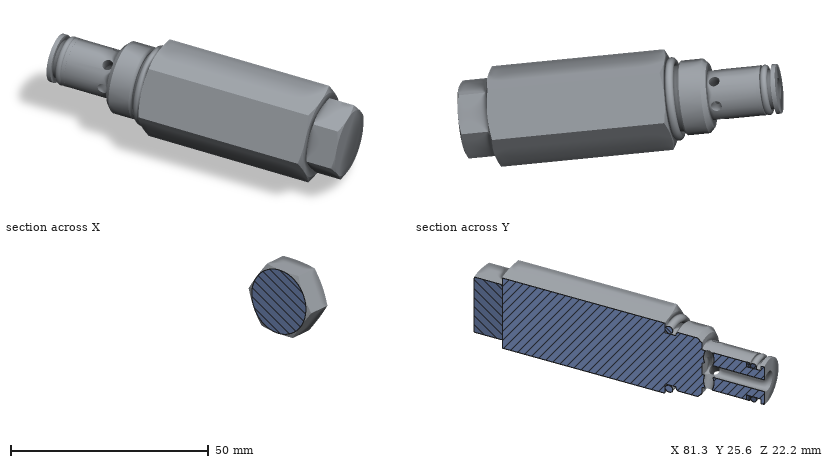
import cadquery as cq
import math

TOTAL_LENGTH = 81.3

NOSE_LIP_END = 1.1
SEAL_GROOVE_END = 4.95
COLLAR_START = 17.5
COLLAR_END = 24.8
HEX_START = 27.8
HEX_END = 73.4

NOSE_DIAMETER = 12.7
SEAL_GROOVE_DIAMETER = 10.1
BORE_DIAMETER = 5.5
BORE_DEPTH = COLLAR_START

CROSS_HOLE_COUNT = 6
CROSS_HOLE_DIAMETER = 2.8
CROSS_HOLE_X = 15.6

COLLAR_DIAMETER = 19.0
COLLAR_FRONT_CHAMFER = 1.2
COLLAR_BACK_CHAMFER = 0.6
NECK_DIAMETER = 16.8

HEX_ACROSS_FLATS = 22.2
HEX_CORNER_CHAMFER = 0.65

NUT_ACROSS_FLATS = 17.4
NUT_CORNER_CHAMFER = 0.6
NUT_TURN_ANGLE = 5.9

NOSE_ORING_SECTION = 1.8
NOSE_ORING_OUTER_DIAMETER = 12.85

BACKUP_RING_COUNT = 2
BACKUP_RING_WIDTH = 0.5
BACKUP_RING_DIAMETER = 12.8
BACKUP_RINGS_START = SEAL_GROOVE_END - BACKUP_RING_COUNT * BACKUP_RING_WIDTH

NECK_ORING_SECTION = 2.2


def cylinder(diameter, start, end):
    """Solid cylinder along X between two positions."""
    return cq.Workplane("YZ", origin=(start, 0, 0)).circle(diameter / 2).extrude(end - start)


def oring(section, center_radius, center_x):
    """Torus about the X axis."""
    return cq.Workplane("XY").center(center_x, center_radius).circle(section / 2).revolve(
        360, (0, -center_radius), (1, -center_radius)
    )


def chamfered_hexagon(across_flats, start, end, corner_chamfer):
    """Hexagonal bar along X, corners on the Y axis, turned conically at both ends.

    Each cone leaves a round end face as wide as the flats.
    """
    across_corners = across_flats / math.cos(math.radians(30))
    bar = cq.Workplane("YZ", origin=(start, 0, 0)).polygon(6, across_corners).extrude(end - start)
    turned_blank = (
        cq.Workplane("XY")
        .moveTo(start, 0)
        .lineTo(start, across_flats / 2)
        .lineTo(start + corner_chamfer, across_corners / 2)
        .lineTo(end - corner_chamfer, across_corners / 2)
        .lineTo(end, across_flats / 2)
        .lineTo(end, 0)
        .close()
        .revolve(360, (0, 0), (1, 0))
    )
    return bar.intersect(turned_blank)


def make_collar():
    collar = cylinder(COLLAR_DIAMETER, COLLAR_START, COLLAR_END)
    collar = collar.faces("<X").chamfer(COLLAR_FRONT_CHAMFER)
    return collar.faces(">X").chamfer(COLLAR_BACK_CHAMFER)


def make_cross_holes():
    """Radial drills from the axis outwards, the first one along +Y."""
    drill = (
        cq.Workplane("XZ", origin=(CROSS_HOLE_X, 0, 0))
        .circle(CROSS_HOLE_DIAMETER / 2)
        .extrude(-NOSE_DIAMETER)
    )
    holes = cq.Workplane("XY")
    for index in range(CROSS_HOLE_COUNT):
        angle = index * 360 / CROSS_HOLE_COUNT
        holes = holes.union(drill.rotate((0, 0, 0), (1, 0, 0), angle))
    return holes


def make_housing():
    nose_lip = cylinder(NOSE_DIAMETER, 0, NOSE_LIP_END)
    groove_floor = cylinder(SEAL_GROOVE_DIAMETER, NOSE_LIP_END, SEAL_GROOVE_END)
    nose_body = cylinder(NOSE_DIAMETER, SEAL_GROOVE_END, COLLAR_START)
    neck = cylinder(NECK_DIAMETER, COLLAR_END, HEX_START)
    hexagon = chamfered_hexagon(HEX_ACROSS_FLATS, HEX_START, HEX_END, HEX_CORNER_CHAMFER)
    body = nose_lip.union(groove_floor).union(nose_body).union(make_collar()).union(neck).union(hexagon)
    bore = cylinder(BORE_DIAMETER, 0, BORE_DEPTH)
    return body.cut(bore).cut(make_cross_holes())


def make_end_nut():
    nut = chamfered_hexagon(NUT_ACROSS_FLATS, HEX_END, TOTAL_LENGTH, NUT_CORNER_CHAMFER)
    return nut.rotate((0, 0, 0), (1, 0, 0), NUT_TURN_ANGLE)


def make_nose_oring():
    """O-ring touching the first backup ring, trimmed flat by the groove floor."""
    center_radius = (NOSE_ORING_OUTER_DIAMETER - NOSE_ORING_SECTION) / 2
    center_x = BACKUP_RINGS_START - NOSE_ORING_SECTION / 2
    ring = oring(NOSE_ORING_SECTION, center_radius, center_x)
    return ring.cut(cylinder(SEAL_GROOVE_DIAMETER, NOSE_LIP_END, SEAL_GROOVE_END))


def make_backup_ring(start):
    end = start + BACKUP_RING_WIDTH
    return cylinder(BACKUP_RING_DIAMETER, start, end).cut(cylinder(SEAL_GROOVE_DIAMETER, start, end))


def make_neck_oring():
    center_radius = (NECK_DIAMETER + NECK_ORING_SECTION) / 2
    center_x = HEX_START - NECK_ORING_SECTION / 2
    return oring(NECK_ORING_SECTION, center_radius, center_x)


housing = make_housing()
end_nut = make_end_nut()
nose_oring = make_nose_oring()
neck_oring = make_neck_oring()

backup_rings = []
for ring_index in range(BACKUP_RING_COUNT):
    backup_rings.append(make_backup_ring(BACKUP_RINGS_START + ring_index * BACKUP_RING_WIDTH))

result = cq.Compound.makeCompound(
    [
        housing.solids().val(),
        end_nut.solids().val(),
        nose_oring.solids().val(),
        neck_oring.solids().val(),
        *[ring.solids().val() for ring in backup_rings],
    ]
)